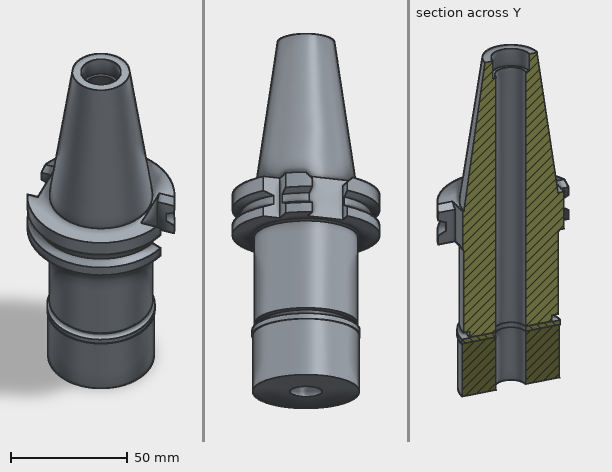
import cadquery as cq

total_height = 158.4
taper_length = 68.5
taper_base_z = total_height - taper_length
flange_top_z = 89.0
flange_bottom_z = 71.0
collar_bottom_z = 70.0
body_bottom_z = 30.5
ring_top_z = 27.7
cap_top_z = 25.3

taper_tip_radius = 12.4
taper_base_radius = 22.2
body_radius = 22.3
flange_diameter = 63.5
flange_radius = flange_diameter / 2
collar_radius = 23.0
neck_radius = 19.5
ring_radius = 23.3
cap_radius = 23.0

groove_center_z = 78.9
groove_floor_diameter = 56.2
groove_floor_radius = groove_floor_diameter / 2
groove_floor_width = 3.8
groove_mouth_width = 7.3

slot_width = 16.0
slot_chamfer = 2.7
slot_floor_left = 25.0
slot_floor_right = 22.8

notch_x = -18.4
notch_y = 18.4

bore_radius = 7.0
mouth_radius = 8.5
mouth_depth = 8.2


def cylinder(radius, bottom_z, top_z):
    return cq.Workplane("XY").workplane(offset=bottom_z).circle(radius).extrude(top_z - bottom_z)


def tube(outer_radius, bottom_z, top_z):
    """Plain sleeve with the common central bore."""
    return cylinder(outer_radius, bottom_z, top_z).cut(cylinder(bore_radius, bottom_z, top_z))


def turned_holder():
    """Taper, grooved flange, body and neck as one revolved profile."""
    half_floor = groove_floor_width / 2
    half_mouth = groove_mouth_width / 2
    profile = [
        (0, ring_top_z),
        (neck_radius, ring_top_z),
        (neck_radius, body_bottom_z),
        (body_radius, body_bottom_z),
        (body_radius, collar_bottom_z),
        (collar_radius, flange_bottom_z),
        (flange_radius, flange_bottom_z),
        (flange_radius, groove_center_z - half_mouth),
        (groove_floor_radius, groove_center_z - half_floor),
        (groove_floor_radius, groove_center_z + half_floor),
        (flange_radius, groove_center_z + half_mouth),
        (flange_radius, flange_top_z),
        (taper_base_radius, flange_top_z),
        (taper_base_radius, taper_base_z),
        (taper_tip_radius, total_height),
        (0, total_height),
    ]
    return cq.Workplane("XZ").polyline(profile).close().revolve(360, (0, 0), (0, 1))


def drive_slot(side, floor_distance):
    """Cutter for a slot open outward on the given X side, with chamfered top edges."""
    half_width = slot_width / 2
    half_top = half_width + slot_chamfer
    section = [
        (-half_width, flange_bottom_z),
        (half_width, flange_bottom_z),
        (half_width, flange_top_z - slot_chamfer),
        (half_top, flange_top_z),
        (-half_top, flange_top_z),
        (-half_width, flange_top_z - slot_chamfer),
    ]
    return (
        cq.Workplane("YZ")
        .workplane(offset=side * floor_distance)
        .polyline(section)
        .close()
        .extrude(side * (flange_radius - floor_distance))
    )


def orientation_notch():
    """Cutter for the square notch through the full flange height."""
    return (
        cq.Workplane("XY")
        .workplane(offset=flange_bottom_z)
        .moveTo(notch_x, notch_y)
        .rect(-flange_radius, flange_radius, centered=False)
        .extrude(flange_top_z - flange_bottom_z)
    )


def make_holder():
    holder = turned_holder()
    holder = holder.cut(drive_slot(-1, slot_floor_left))
    holder = holder.cut(drive_slot(1, slot_floor_right))
    holder = holder.cut(orientation_notch())
    holder = holder.cut(cylinder(bore_radius, ring_top_z, total_height))
    return holder.cut(cylinder(mouth_radius, total_height - mouth_depth, total_height))


def make_ring():
    """Slip ring between the holder neck and the cap."""
    return tube(ring_radius, cap_top_z, ring_top_z)


def make_cap():
    """Clamping cap at the lower end, slightly smaller than the ring."""
    return tube(cap_radius, 0, cap_top_z)


holder = make_holder()
ring = make_ring()
cap = make_cap()

result = cq.Compound.makeCompound([holder.val(), ring.val(), cap.val()])